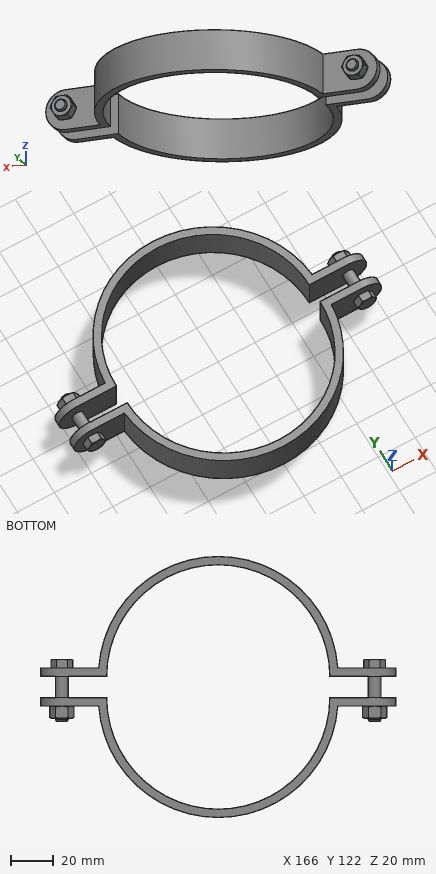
import cadquery as cq
import math

overall_length = 166.0
strap_width = 20.0
strap_thickness = 4.0
ear_gap = 10.0
ring_outer_radius = 112.0 / 2
ring_inner_radius = ring_outer_radius - strap_thickness
ear_radius = strap_width / 2
bolt_x = overall_length / 2 - ear_radius
ear_inner_y = ear_gap / 2
ear_outer_y = ear_inner_y + strap_thickness

shank_diameter = 6.0
tip_diameter = 5.0
tip_taper_length = 0.8
head_across_flats = 9.0
head_height = 4.0

nut_across_flats = 10.0
nut_height = 5.6
tip_projection = 1.5
bolt_end_y = ear_outer_y + nut_height + tip_projection

corner_angle = 30.0


def cylinder_along_y(diameter, start_y, end_y):
    """Solid cylinder on the Y axis from start_y up to end_y."""
    length = end_y - start_y
    return cq.Workplane("XZ", origin=(0, start_y, 0)).circle(diameter / 2).extrude(-length)


def chamfered_hexagon(across_flats, height, both_ends):
    """Hexagonal prism on Z from 0 to height, corners along X, cut by a cone at one or both ends."""
    corner_radius = across_flats / math.sqrt(3)
    flat_radius = across_flats / 2
    cone_drop = (corner_radius - flat_radius) * math.tan(math.radians(corner_angle))
    prism = cq.Workplane("XY").polygon(6, 2 * corner_radius).extrude(height)
    envelope = cq.Workplane("XZ")
    if both_ends:
        envelope = envelope.lineTo(flat_radius, 0).lineTo(corner_radius, cone_drop)
    else:
        envelope = envelope.lineTo(corner_radius, 0)
    envelope = (
        envelope.lineTo(corner_radius, height - cone_drop)
        .lineTo(flat_radius, height)
        .lineTo(0, height)
        .close()
        .revolve(360, (0, 0), (0, 1))
    )
    return prism.intersect(envelope)


def make_clamp_half():
    """Clamp half on the +Y side, with rounded ears and bolt holes."""
    ring_join_x = math.sqrt(ring_outer_radius**2 - strap_thickness**2)
    end_x = overall_length / 2
    strap = (
        cq.Workplane("XY", origin=(0, 0, -strap_width / 2))
        .moveTo(-end_x, ear_inner_y)
        .lineTo(-ring_inner_radius, ear_inner_y)
        .threePointArc((0, ear_inner_y + ring_inner_radius), (ring_inner_radius, ear_inner_y))
        .lineTo(end_x, ear_inner_y)
        .lineTo(end_x, ear_outer_y)
        .lineTo(ring_join_x, ear_outer_y)
        .threePointArc((0, ear_inner_y + ring_outer_radius), (-ring_join_x, ear_outer_y))
        .lineTo(-end_x, ear_outer_y)
        .close()
        .extrude(strap_width)
    )
    ear_profile = (
        cq.Workplane("XZ")
        .slot2D(overall_length, strap_width)
        .extrude(-(ear_inner_y + ring_outer_radius))
    )
    strap = strap.intersect(ear_profile)
    hole = cylinder_along_y(shank_diameter, ear_inner_y, ear_outer_y)
    for x in (-bolt_x, bolt_x):
        strap = strap.cut(hole.translate((x, 0, 0)))
    return strap


def make_bolt(x):
    """Hexagon-head bolt through both ears at the given X."""
    taper_start_y = bolt_end_y - tip_taper_length
    shank = cylinder_along_y(shank_diameter, -ear_outer_y, taper_start_y)
    tip = (
        cq.Workplane("XZ", origin=(0, taper_start_y, 0))
        .circle(shank_diameter / 2)
        .workplane(offset=-tip_taper_length)
        .circle(tip_diameter / 2)
        .loft()
    )
    head = (
        chamfered_hexagon(head_across_flats, head_height, both_ends=False)
        .rotate((0, 0, 0), (1, 0, 0), 90)
        .translate((0, -ear_outer_y, 0))
    )
    return shank.union(tip).union(head).translate((x, 0, 0))


def make_nut(x):
    """Hexagon nut seated on the +Y ear at the given X."""
    blank = (
        chamfered_hexagon(nut_across_flats, nut_height, both_ends=True)
        .rotate((0, 0, 0), (1, 0, 0), -90)
        .translate((0, ear_outer_y, 0))
    )
    bore = cylinder_along_y(shank_diameter, ear_outer_y, ear_outer_y + nut_height)
    return blank.cut(bore).translate((x, 0, 0))


rear_half = make_clamp_half()
front_half = rear_half.mirror("XZ")
bodies = [rear_half.val(), front_half.val()]
for fastener_x in (-bolt_x, bolt_x):
    bodies.append(make_bolt(fastener_x).val())
    bodies.append(make_nut(fastener_x).val())

result = cq.Compound.makeCompound(bodies)